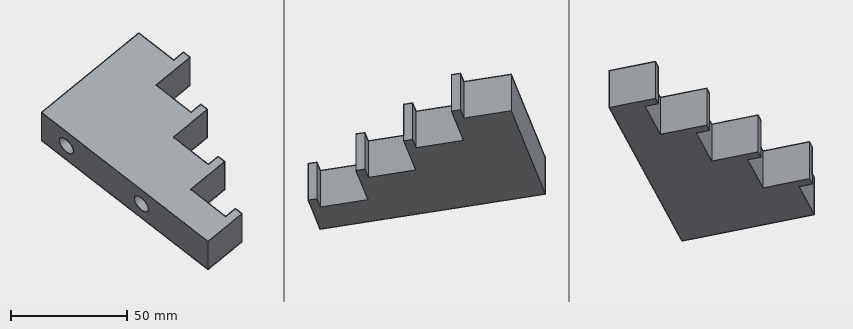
import cadquery as cq
import math

step_count = 4
step_run = 25.0
step_rise = 15.0
thickness = 20.0

lip_width = 4.0
lip_height = 6.0

hole_diameter = 8.5
hole_depth = 20.0
drill_point_angle = 118.0
hole_positions_x = (15.0, 60.0)

length = step_count * step_run


def staircase():
    """Block with descending steps, each ending in a lip."""
    points = [(0, 0)]
    for step in range(step_count):
        start_x = step * step_run
        end_x = start_x + step_run
        tread_y = (step_count - step) * step_rise
        points += [
            (start_x, tread_y),
            (end_x - lip_width, tread_y),
            (end_x - lip_width, tread_y + lip_height),
            (end_x, tread_y + lip_height),
        ]
    points.append((length, 0))
    return cq.Workplane("XY").polyline(points).close().extrude(thickness)


def drilled_hole(x):
    """Cutter for a hole along +Y with a conical drill point."""
    radius = hole_diameter / 2
    point_length = radius / math.tan(math.radians(drill_point_angle / 2))
    profile = [
        (0, 0),
        (radius, 0),
        (radius, hole_depth),
        (0, hole_depth + point_length),
    ]
    cutter = cq.Workplane("XY").polyline(profile).close().revolve(360, (0, 0), (0, 1))
    return cutter.translate((x, 0, thickness / 2))


result = staircase()
for hole_x in hole_positions_x:
    result = result.cut(drilled_hole(hole_x))